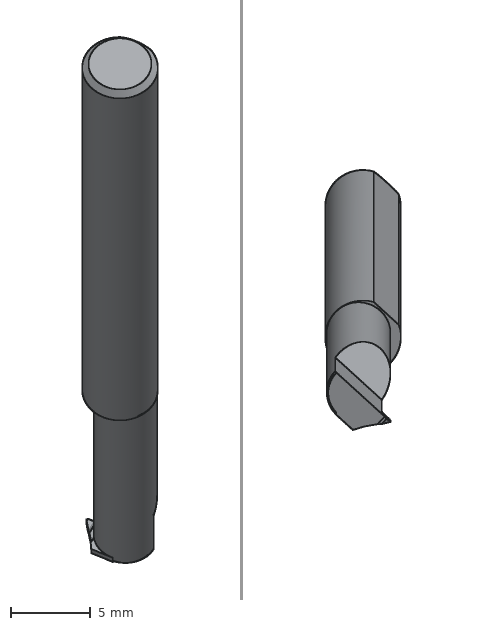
import cadquery as cq
import math

length = 50.8
shank_diameter = 4.75
flat_offset = 2.15
end_chamfer_radial = 0.4
end_chamfer_height = 0.4

neck_length = 15.85
neck_diameter = 4.0
edge_chamfer = 0.1

floor_height = 0.15
face_height = 3.85
tooth_top = 0.6
flank_break_x = -1.35
flank_break_y = -1.35
front_start_x = -1.0
front_end_x = 0.5
root_radius = 0.2
root_end_x = -1.25
tip_x = -2.05
tooth_corner = 0.15

shank_radius = shank_diameter / 2
neck_radius = neck_diameter / 2
neck_x = shank_radius - neck_radius


def make_shank():
    """Round bar with a conical top end and a flat along the +Y side."""
    shank_length = length - neck_length
    bar = (
        cq.Workplane("XY", origin=(0, 0, neck_length))
        .circle(shank_radius)
        .extrude(shank_length)
        .faces(">Z")
        .chamfer(end_chamfer_height, end_chamfer_radial)
    )
    flat = cq.Workplane("XY").box(
        shank_diameter, shank_radius, length, centered=(True, False, False)
    )
    return bar.cut(flat.translate((0, flat_offset, 0)))


def make_neck():
    """Offset round neck, cut to half its depth at the lower end."""
    neck = (
        cq.Workplane("XY", origin=(neck_x, 0, floor_height))
        .circle(neck_radius)
        .extrude(neck_length - floor_height)
        .faces("<Z")
        .chamfer(edge_chamfer)
    )
    relief = (
        cq.Workplane("YZ")
        .moveTo(0, 0)
        .lineTo(0, face_height)
        .lineTo(shank_diameter, face_height + shank_diameter)
        .lineTo(shank_diameter, 0)
        .close()
        .extrude(shank_diameter, both=True)
    )
    return neck.cut(relief)


def tooth_region():
    """Plan area of the tooth: two flank planes and a front face behind the cutting face."""
    return (
        cq.Workplane("XY")
        .moveTo(-shank_radius, 0)
        .lineTo(flank_break_x, flank_break_y)
        .lineTo(front_start_x, -neck_radius)
        .lineTo(front_end_x, -neck_radius)
        .lineTo(front_end_x, 0)
        .close()
        .extrude(tooth_top + root_radius)
    )


def make_tooth():
    """Side tooth with clipped outer corners and a round root on the neck."""
    neck_side = neck_x - neck_radius
    arc_offset = root_radius * (1 - math.sqrt(0.5))
    profile = (
        cq.Workplane("XZ")
        .moveTo(front_end_x, floor_height)
        .lineTo(tip_x + tooth_corner, floor_height)
        .lineTo(tip_x, 0)
        .lineTo(-shank_radius, floor_height)
        .lineTo(-shank_radius, tooth_top - tooth_corner)
        .lineTo(tooth_corner - shank_radius, tooth_top)
        .lineTo(neck_side - root_radius, tooth_top)
        .threePointArc(
            (neck_side - arc_offset, tooth_top + arc_offset),
            (neck_side, tooth_top + root_radius),
        )
        .lineTo(root_end_x, tooth_top)
        .lineTo(front_end_x, tooth_top)
        .close()
        .extrude(neck_radius)
    )
    return profile.intersect(tooth_region())


result = make_shank().union(make_neck()).union(make_tooth())